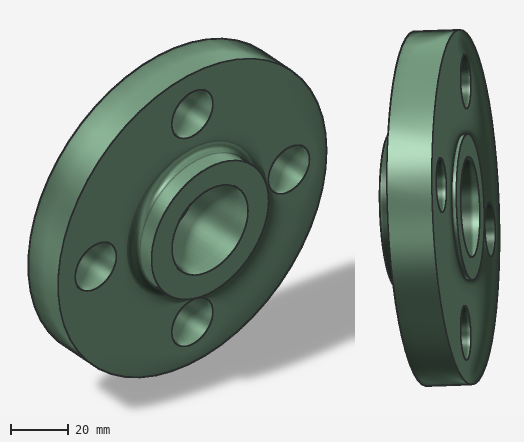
import cadquery as cq

flange_diameter = 123.8
total_length = 27.0
raised_face_diameter = 51.0
raised_face_height = 1.6
flange_thickness = 16.0
hub_diameter = 54.0
hub_fillet_radius = 3.1
bore_diameter = 35.0
bolt_hole_diameter = 19.0
bolt_circle_diameter = 89.0
bolt_count = 4

flange_radius = flange_diameter / 2
raised_face_radius = raised_face_diameter / 2
hub_radius = hub_diameter / 2
bore_radius = bore_diameter / 2
flange_back = raised_face_height + flange_thickness


def flange_body():
    """Revolve the half section: raised face, flange, concave hub fillet, hub and bore."""
    section = (
        cq.Workplane("XY")
        .moveTo(0, bore_radius)
        .lineTo(0, raised_face_radius)
        .lineTo(raised_face_height, raised_face_radius)
        .lineTo(raised_face_height, flange_radius)
        .lineTo(flange_back, flange_radius)
        .lineTo(flange_back, hub_radius + hub_fillet_radius)
        .radiusArc((flange_back + hub_fillet_radius, hub_radius), -hub_fillet_radius)
        .lineTo(total_length, hub_radius)
        .lineTo(total_length, bore_radius)
        .close()
    )
    return section.revolve(360, (0, 0, 0), (1, 0, 0))


def bolt_holes():
    """Through-hole cutters spaced evenly on the bolt circle, starting on the Y axis."""
    return (
        cq.Workplane("YZ")
        .polarArray(bolt_circle_diameter / 2, 0, 360, bolt_count)
        .circle(bolt_hole_diameter / 2)
        .extrude(total_length)
    )


result = flange_body().cut(bolt_holes())